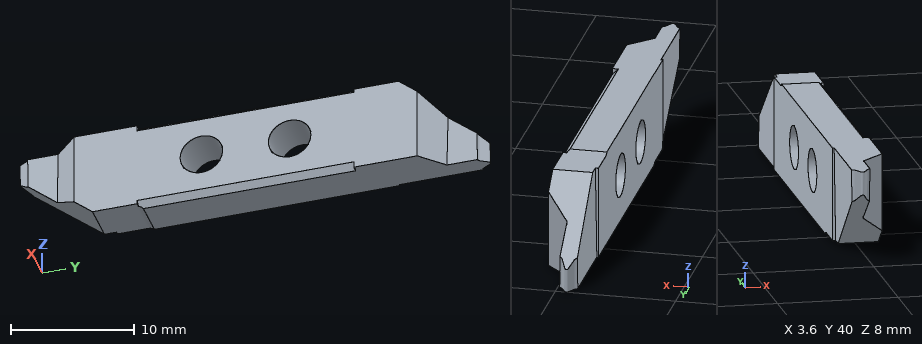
import math

import cadquery as cq

WIDTH = 3.6
LENGTH = 40.0
HEIGHT = 8.0
HALF_WIDTH = WIDTH / 2
HALF_LENGTH = LENGTH / 2
HALF_HEIGHT = HEIGHT / 2

BLADE_START = 12.0
BLADE_CENTER_X = -0.9
BLADE_WIDTH = 1.53
BLADE_HALF_WIDTH = BLADE_WIDTH / 2
BLADE_LENGTH = 3.48
RELIEF_ANGLE = 0.9

NOSE_RADIUS = 0.2
NOSE_HALF_ANGLE = math.radians(30.0)
NOSE_LENGTH = 0.75
SHOULDER_END = 0.9

PAD_DEPTH = 0.2
PAD_ARC_RADIUS = 0.75
PAD_ARC_START = 9.35
SLOPE_START = 13.0
SLOPE_ANGLE = 40.0

CHAMFER = 0.53
CHAMFER_HALF_LENGTH = 9.2

HOLE_DIAMETER = 3.6
HOLE_SPACING = 7.5

MARGIN = 1.0


def turned_over(shape):
    """The same shape turned half a turn about the X axis, for the opposite end."""
    return shape.rotate((0, 0, 0), (1, 0, 0), 180)


def make_body():
    return cq.Workplane("XY").box(WIDTH, 2 * BLADE_START, HEIGHT)


def make_blade():
    """Blade at the -Y end, with its cutting edge on the top face."""
    left = BLADE_CENTER_X - BLADE_HALF_WIDTH
    right = BLADE_CENTER_X + BLADE_HALF_WIDTH
    tip_y = -HALF_LENGTH
    shoulder_y = tip_y + SHOULDER_END
    inner_y = -BLADE_START + MARGIN

    tangent_half_width = NOSE_RADIUS * math.cos(NOSE_HALF_ANGLE)
    tangent_y = tip_y + NOSE_RADIUS * (1 - math.sin(NOSE_HALF_ANGLE))
    root_y = tip_y + NOSE_LENGTH
    root_half_width = tangent_half_width + (root_y - tangent_y) * math.tan(NOSE_HALF_ANGLE)

    blade = (
        cq.Workplane("XY")
        .workplane(offset=HALF_HEIGHT)
        .moveTo(left, inner_y)
        .lineTo(left, shoulder_y)
        .lineTo(BLADE_CENTER_X - root_half_width, root_y)
        .lineTo(BLADE_CENTER_X - tangent_half_width, tangent_y)
        .threePointArc((BLADE_CENTER_X, tip_y), (BLADE_CENTER_X + tangent_half_width, tangent_y))
        .lineTo(BLADE_CENTER_X + root_half_width, root_y)
        .lineTo(right, shoulder_y)
        .lineTo(right, inner_y)
        .close()
        .extrude(-HEIGHT, taper=RELIEF_ANGLE)
    )
    return blade.cut(make_body())


def make_flank():
    """Upright 45 degree flank that widens the -Y blade to the full body width."""
    blade_side = BLADE_CENTER_X + BLADE_HALF_WIDTH
    flank_start_y = -HALF_LENGTH + BLADE_LENGTH
    corners = [
        (BLADE_CENTER_X, flank_start_y - (blade_side - BLADE_CENTER_X)),
        (HALF_WIDTH, flank_start_y + (HALF_WIDTH - blade_side)),
        (HALF_WIDTH, -BLADE_START),
        (BLADE_CENTER_X, -BLADE_START),
    ]
    return cq.Workplane("XY").polyline(corners).close().extrude(HALF_HEIGHT, both=True)


def make_end_relief():
    """Cutter for the pad, its arc run-out and the slope on top of the +Y end."""
    pad_z = HALF_HEIGHT - PAD_DEPTH
    outer_y = HALF_LENGTH + MARGIN
    slope_end_z = pad_z - (outer_y - SLOPE_START) * math.tan(math.radians(SLOPE_ANGLE))
    arc_angle = math.acos(1 - PAD_DEPTH / PAD_ARC_RADIUS)
    arc_end_y = PAD_ARC_START - PAD_ARC_RADIUS * math.sin(arc_angle)
    arc_mid = (
        PAD_ARC_START - PAD_ARC_RADIUS * math.sin(arc_angle / 2),
        pad_z + PAD_ARC_RADIUS * (1 - math.cos(arc_angle / 2)),
    )
    return (
        cq.Workplane("YZ")
        .workplane(offset=-HALF_WIDTH - MARGIN)
        .moveTo(outer_y, slope_end_z)
        .lineTo(SLOPE_START, pad_z)
        .lineTo(PAD_ARC_START, pad_z)
        .threePointArc(arc_mid, (arc_end_y, HALF_HEIGHT))
        .lineTo(arc_end_y, HALF_HEIGHT + MARGIN)
        .lineTo(outer_y, HALF_HEIGHT + MARGIN)
        .close()
        .extrude(WIDTH + 2 * MARGIN)
    )


def make_edge_chamfer():
    """Cutter for the 45 degree chamfer along the top +X edge."""
    corners = [
        (HALF_WIDTH - CHAMFER, HALF_HEIGHT),
        (HALF_WIDTH, HALF_HEIGHT),
        (HALF_WIDTH, HALF_HEIGHT - CHAMFER),
    ]
    return cq.Workplane("XZ").polyline(corners).close().extrude(CHAMFER_HALF_LENGTH, both=True)


def make_holes():
    return (
        cq.Workplane("YZ")
        .workplane(offset=-HALF_WIDTH)
        .pushPoints([(-HOLE_SPACING / 2, 0), (HOLE_SPACING / 2, 0)])
        .circle(HOLE_DIAMETER / 2)
        .extrude(WIDTH)
    )


blade = make_blade().union(make_flank())
result = make_body().union(blade).union(turned_over(blade))
for cutter in (make_end_relief(), make_edge_chamfer()):
    result = result.cut(cutter).cut(turned_over(cutter))
result = result.cut(make_holes())